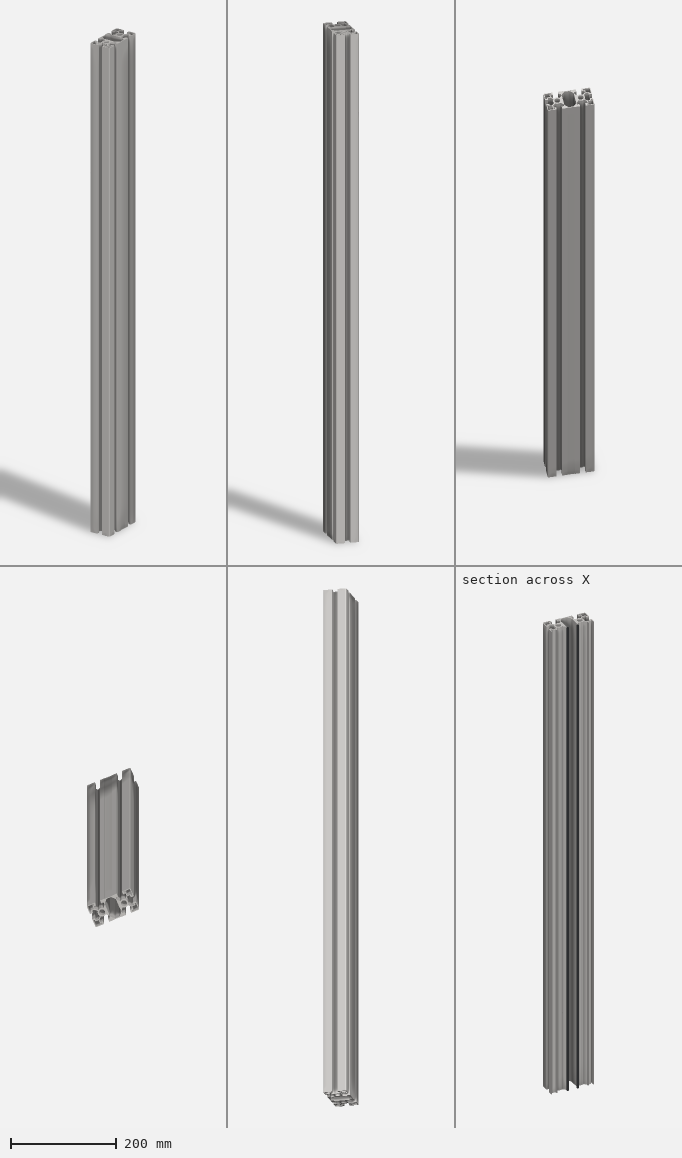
import cadquery as cq
import math

length = 1000.0
cell = 45.0
half_cell = cell / 2
corner_radius = 2.2

mouth_half = 5.3
lip_depth = 6.0
lip_overhang = 4.8
chamber_half = mouth_half + lip_overhang
web = 2.0

core_radius = 8.3
bore_radius = 5.5
groove_half = 1.0
groove_depth = 0.6

skin = 1.5
inner_wall = 1.6
void_near = chamber_half + inner_wall
void_far = half_cell - skin
arm_depth = 4.0
arm_side = half_cell - arm_depth
arm_tip = 8.0

side_wall = 2.0
centre_half_x = half_cell - side_wall
centre_wall = 0.9
centre_half_y = half_cell - chamber_half - centre_wall
centre_chamfer = 7.0

recess_half = 7.5
recess_depth = 0.5

base = cq.Workplane("XY").workplane(offset=-length / 2)


def prism(outline):
    """A full-length prism over a closed outline of (x, y) points."""
    return base.polyline(outline).close().extrude(length)


def slot():
    """A T-slot that opens toward +Y in a cell centred on the origin."""
    web_apex = web / 2 * math.sqrt(2)
    right_side = [
        (mouth_half, half_cell),
        (mouth_half, half_cell - lip_depth),
        (chamber_half, half_cell - lip_depth),
        (chamber_half, chamber_half + web_apex),
    ]
    left_side = [(-x, y) for x, y in reversed(right_side)]
    chamber = prism(right_side + [(0, web_apex)] + left_side)
    floor_y = core_radius - groove_depth
    core = base.circle(core_radius).extrude(length)
    groove = prism([
        (0, floor_y),
        (2 * groove_half, floor_y + 2 * groove_depth),
        (-2 * groove_half, floor_y + 2 * groove_depth),
    ])
    return chamber.cut(core.cut(groove))


def corner_void(x_sign, y_sign):
    """The hollow of one outer corner of the section."""
    outline = [
        (void_near, void_near),
        (arm_side, void_near),
        (arm_side, arm_tip),
        (void_far, arm_tip),
        (void_far, void_far),
        (arm_tip, void_far),
        (arm_tip, arm_side),
        (void_near, arm_side),
    ]
    return prism([(x_sign * x, y_sign * (half_cell + y)) for x, y in outline])


body = base.rect(cell, 2 * cell).extrude(length).edges("|Z").fillet(corner_radius)

for y_sign in (1, -1):
    cell_y = y_sign * half_cell
    end_turn = 0 if y_sign > 0 else 180
    for turn in (end_turn, 90, -90):
        cutter = slot().rotate((0, 0, 0), (0, 0, 1), turn)
        body = body.cut(cutter.translate((0, cell_y, 0)))
    body = body.cut(base.center(0, cell_y).circle(bore_radius).extrude(length))

for x_sign in (1, -1):
    for y_sign in (1, -1):
        body = body.cut(corner_void(x_sign, y_sign))
    recess = base.center(x_sign * half_cell, 0).rect(2 * recess_depth, 2 * recess_half)
    body = body.cut(recess.extrude(length))

centre_void = base.rect(2 * centre_half_x, 2 * centre_half_y).extrude(length)
body = body.cut(centre_void.edges("|Z").chamfer(centre_chamfer))

result = body